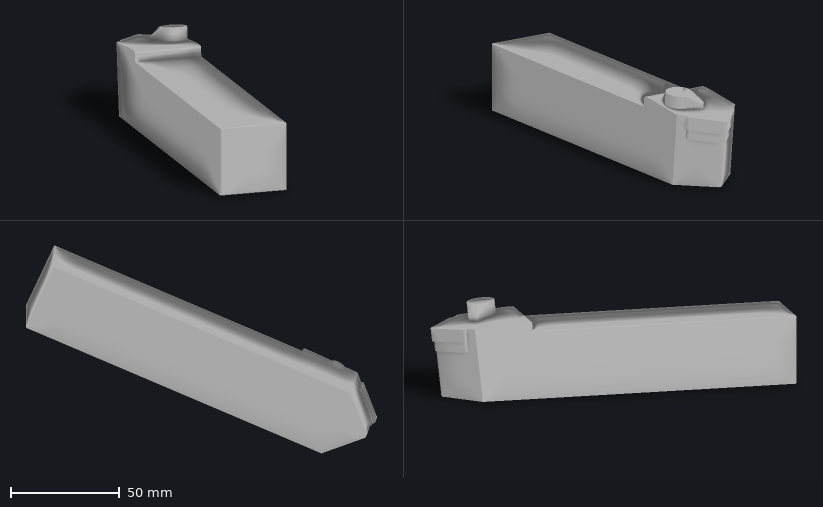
import cadquery as cq
import math

LENGTH = 169.7
WIDTH = 32.0
SHANK_HEIGHT = 32.0
HEAD_HEIGHT = 36.6
STEP_X = 44.1
STEP_RADIUS = 1.0
EDGE_CHAMFER = 0.3
TILT = 6.3

TIP_HEIGHT = 32.4
INSERT_SIDE = 19.0
INSERT_THICKNESS = 6.3
INSERT_RADIUS = 1.2
PIN_DIAMETER = 8.0

SHIM_INSET = 0.5
SHIM_THICKNESS = 4.8
SHIM_RADIUS = 1.9
INSERT_OVERHANG = 1.0
HOLDER_TIP_FLAT = 1.5

CLAMP_RADIUS = 6.5
CLAMP_X = 27.3
CLAMP_Y = 8.5
CLAMP_ANGLE = 233.0
CLAMP_GAP = 0.7
CLAMP_TOP = 6.6
STEM_DIAMETER = 6.8
STEM_DEPTH = 3.4
NOSE_REACH = 11.4
NOSE_HALF_WIDTH = 2.0
NOSE_HEIGHT = 1.7
NOSE_RADIUS = 0.8
PAD_START = 7.5
BEVEL_HALF_WIDTH = 0.8
FLANK_U = 3.4
FLANK_V = 5.5

angle = math.radians(TILT)
corner_loss = INSERT_RADIUS * (math.sqrt(2) - 1)
seat = cq.Plane(
    origin=(-corner_loss * math.cos(angle), 0, TIP_HEIGHT - corner_loss * math.sin(angle)),
    xDir=(math.cos(angle), 0, math.sin(angle)),
    normal=(-math.sin(angle), 0, math.cos(angle)),
)
half_diagonal = INSERT_SIDE / math.sqrt(2)
BIG = 3 * WIDTH


def seat_plane(height):
    """Plane parallel to the seat at a height above it."""
    return cq.Plane(seat.toWorldCoords((0, 0, height)), seat.xDir, seat.zDir)


def square_plate(side, bottom, thickness):
    """Diamond-set square sharing the rear corner of the insert."""
    centre = 2 * half_diagonal - side / math.sqrt(2)
    return (
        cq.Workplane(seat_plane(bottom)).center(centre, 0)
        .transformed(rotate=(0, 0, 45)).rect(side, side).extrude(thickness)
    )


def make_pin():
    return (
        cq.Workplane(seat_plane(-INSERT_THICKNESS)).center(half_diagonal, 0)
        .circle(PIN_DIAMETER / 2).extrude(INSERT_THICKNESS)
    )


def make_insert():
    plate = square_plate(INSERT_SIDE, -INSERT_THICKNESS, INSERT_THICKNESS)
    return plate.edges(cq.selectors.ParallelDirSelector(seat.zDir)).fillet(INSERT_RADIUS).cut(make_pin())


def make_shim():
    plate = square_plate(INSERT_SIDE - SHIM_INSET, -INSERT_THICKNESS - SHIM_THICKNESS, SHIM_THICKNESS)
    return plate.edges(cq.selectors.ParallelDirSelector(seat.zDir)).fillet(SHIM_RADIUS)


def make_block():
    """Shank and head before the pocket is cut."""
    ridge_x = (HEAD_HEIGHT - TIP_HEIGHT) / math.tan(angle)
    front_x = -WIDTH
    shank = (
        cq.Workplane("XY").box(LENGTH - STEP_X, WIDTH, SHANK_HEIGHT, centered=(False, True, False))
        .translate((STEP_X, 0, 0))
        .edges("|X and >Z or >X").chamfer(EDGE_CHAMFER)
    )
    head = (
        cq.Workplane("XZ", origin=(0, WIDTH / 2, 0))
        .moveTo(front_x, 0)
        .lineTo(STEP_X, 0)
        .lineTo(STEP_X, HEAD_HEIGHT)
        .lineTo(ridge_x, HEAD_HEIGHT)
        .lineTo(front_x, TIP_HEIGHT + front_x * math.tan(angle))
        .close().extrude(WIDTH)
        .edges(">X and >Z").fillet(STEP_RADIUS)
    )
    root_fillet = (
        cq.Workplane("XZ", origin=(0, WIDTH / 2, 0))
        .moveTo(STEP_X, SHANK_HEIGHT - EDGE_CHAMFER)
        .lineTo(STEP_X, SHANK_HEIGHT + STEP_RADIUS)
        .radiusArc((STEP_X + STEP_RADIUS, SHANK_HEIGHT), -STEP_RADIUS)
        .lineTo(STEP_X + STEP_RADIUS, SHANK_HEIGHT - EDGE_CHAMFER)
        .close().extrude(WIDTH)
    )
    vertex_x = INSERT_OVERHANG * math.sqrt(2)
    flat = HOLDER_TIP_FLAT / 2
    plan = (
        cq.Workplane(seat_plane(-BIG))
        .polyline([
            (vertex_x + flat, -flat),
            (vertex_x + WIDTH, -WIDTH),
            (BIG, -WIDTH),
            (BIG, WIDTH),
            (vertex_x + WIDTH, WIDTH),
            (vertex_x + flat, flat),
        ]).close().extrude(2 * BIG)
    )
    return head.intersect(plan).union(shank).union(root_fillet)


def trim_above(body, frame, p1, p2, p3):
    """Remove material on the upper side of the plane through three points of a frame."""
    a, b, c = [frame.toWorldCoords(p) for p in (p1, p2, p3)]
    normal = (b - a).cross(c - a)
    if normal.dot(frame.zDir) < 0:
        normal = normal * -1
    return body.cut(cq.Workplane(cq.Plane(a, b - a, normal)).rect(BIG, BIG).extrude(BIG))


def make_clamp():
    """Round clamp with a bevelled nose pressing on the insert, and its stem."""
    turn = math.radians(CLAMP_ANGLE)
    nose_direction = seat.xDir * math.cos(turn) + seat.yDir * math.sin(turn)
    frame = cq.Plane(seat.toWorldCoords((CLAMP_X, CLAMP_Y, 0)), nose_direction, seat.zDir)

    corner_distance = math.hypot(NOSE_REACH, NOSE_HALF_WIDTH)
    tangent = math.atan2(NOSE_HALF_WIDTH, NOSE_REACH) + math.acos(CLAMP_RADIUS / corner_distance)
    tangent_u = CLAMP_RADIUS * math.cos(tangent)
    tangent_v = CLAMP_RADIUS * math.sin(tangent)
    body = (
        cq.Workplane(frame)
        .moveTo(NOSE_REACH, -NOSE_HALF_WIDTH)
        .lineTo(NOSE_REACH, NOSE_HALF_WIDTH)
        .lineTo(tangent_u, tangent_v)
        .threePointArc((-CLAMP_RADIUS, 0), (tangent_u, -tangent_v))
        .close().extrude(CLAMP_TOP)
    )
    nose_edges = cq.selectors.ParallelDirSelector(seat.zDir)
    nose_end = cq.selectors.DirectionMinMaxSelector(nose_direction, True)
    body = body.edges(nose_edges).edges(nose_end).fillet(NOSE_RADIUS)

    clearance = (
        cq.Workplane(frame).center(PAD_START - BIG / 2, 0).rect(BIG, BIG).extrude(CLAMP_GAP)
    )
    body = body.cut(clearance)

    for side in (-1, 1):
        top_corner = (CLAMP_RADIUS, side * BEVEL_HALF_WIDTH, CLAMP_TOP)
        nose_corner = (NOSE_REACH, side * NOSE_HALF_WIDTH, NOSE_HEIGHT)
        body = trim_above(body, frame, top_corner, (FLANK_U, side * FLANK_V, CLAMP_TOP), nose_corner)
    body = trim_above(
        body, frame,
        (CLAMP_RADIUS, 0, CLAMP_TOP),
        (CLAMP_RADIUS, BEVEL_HALF_WIDTH, CLAMP_TOP),
        (NOSE_REACH, 0, NOSE_HEIGHT),
    )
    stem = (
        cq.Workplane(frame).workplane(offset=-STEM_DEPTH)
        .circle(STEM_DIAMETER / 2).extrude(STEM_DEPTH + CLAMP_GAP)
    )
    return body.union(stem)


def make_holder(insert_body):
    """Toolholder with its shim, pin and clamp."""
    depth = INSERT_THICKNESS + SHIM_THICKNESS
    pocket = square_plate(INSERT_SIDE, -depth, 2 * depth)
    holder = make_block().cut(pocket).union(make_shim()).union(make_pin()).union(make_clamp())
    return holder.cut(insert_body)


insert = make_insert()
holder = make_holder(insert)
result = cq.Compound.makeCompound([holder.val(), insert.val()])